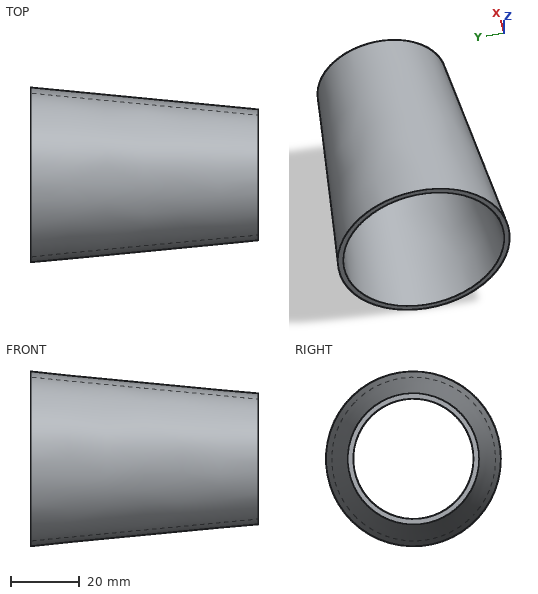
import cadquery as cq

length = 66.0
wide_diameter = 50.8
narrow_diameter = 38.1
wall = 1.65

wide_radius = wide_diameter / 2
narrow_radius = narrow_diameter / 2
half_length = length / 2

wall_section = (
    cq.Workplane("XY")
    .moveTo(-half_length, wide_radius - wall)
    .lineTo(-half_length, wide_radius)
    .lineTo(half_length, narrow_radius)
    .lineTo(half_length, narrow_radius - wall)
    .close()
)
result = wall_section.revolve(360, (0, 0, 0), (1, 0, 0))